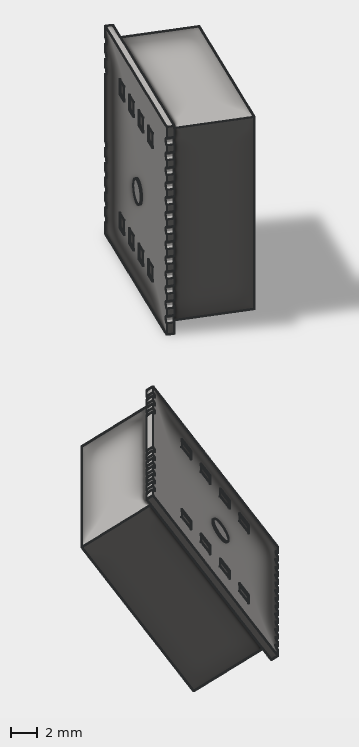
import cadquery as cq

pitch = 1.27

board_width = 13 * pitch
board_height = 14 * pitch
board_thickness = 0.6

notch_radius = 0.3
notch_rows = 13
top_left_notches = 3
bottom_left_notches = 6

pad_size = pitch
pad_recess_depth = 0.1
pad_columns = 4
pad_rows = 2
pad_column_spacing = 2 * pitch
pad_row_spacing = 9 * pitch

spot_radius = 1.0
spot_height = 0.1
spot_x = 0.6
spot_z = -pitch / 2

can_width = 14.8
can_height = 16.45
can_depth = 6.5


def notch_centers():
    """Right edge carries every row; the left edge leaves a gap between its two groups."""
    top_z = (notch_rows - 1) / 2 * pitch
    centers = []
    for row in range(notch_rows):
        z = top_z - row * pitch
        centers.append((board_width / 2, z))
        in_top_group = row < top_left_notches
        in_bottom_group = row >= notch_rows - bottom_left_notches
        if in_top_group or in_bottom_group:
            centers.append((-board_width / 2, z))
    return centers


def make_board():
    plate = cq.Workplane("XZ").rect(board_width, board_height).extrude(board_thickness)
    notches = (
        cq.Workplane("XZ")
        .pushPoints(notch_centers())
        .circle(notch_radius)
        .extrude(board_thickness)
    )
    pad_recesses = (
        cq.Workplane("XZ", origin=(0, -board_thickness, 0))
        .rarray(pad_column_spacing, pad_row_spacing, pad_columns, pad_rows)
        .rect(pad_size, pad_size)
        .extrude(-pad_recess_depth)
    )
    spot = (
        cq.Workplane("XZ", origin=(0, -board_thickness, 0))
        .center(spot_x, spot_z)
        .circle(spot_radius)
        .extrude(spot_height)
    )
    return plate.cut(notches).cut(pad_recesses).union(spot)


def make_can():
    return cq.Workplane("XZ").rect(can_width, can_height).extrude(-can_depth)


board = make_board()
can = make_can()

result = cq.Compound.makeCompound([board.solids().val(), can.val()])